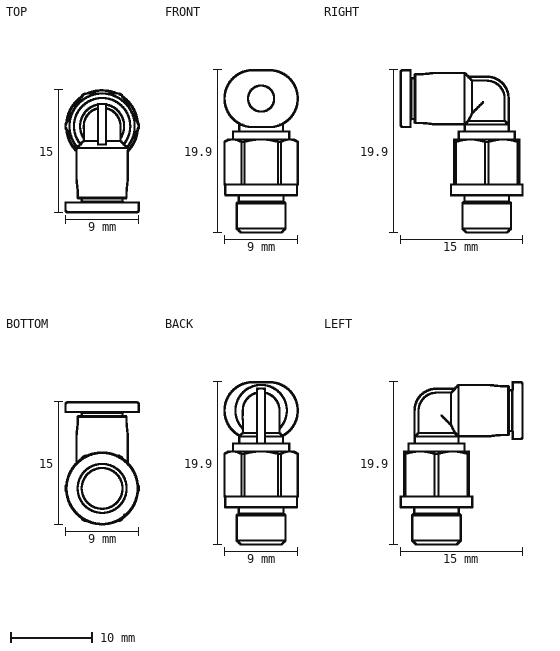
import cadquery as cq
import math

ARM_AXIS_Z = 16.4
ARM_END = 10.55

THREAD_RADIUS = 3.0
THREAD_TIP_CHAMFER = 0.5
THREAD_RUNOUT_Z = 3.55
THREAD_NECK_RADIUS = 2.75
FLANGE_RADIUS = 4.4
FLANGE_BOTTOM_Z = 4.55
FLANGE_EDGE_CHAMFER = 0.05

HEX_BOTTOM_Z = 5.9
HEX_TOP_Z = 11.4
HEX_ACROSS_FLATS = 8.0
HEX_CORNER_RADIUS = 4.5
HEX_CHAMFER_ANGLE = 30.0
COLLAR_RADIUS = 3.45
COLLAR_TOP_Z = 12.4

ELBOW_RADIUS = 2.25
NECK_RADIUS = 2.7
NECK_SHOULDER_Z = 13.22
RIB_WIDTH = 1.0

SOCKET_RADIUS = 3.15
SOCKET_CONE_START = 1.8
SOCKET_STRAIGHT_END = 6.55
SOCKET_TIP_START = 8.0
SOCKET_TIP_RADIUS = 3.0
SOCKET_END = 8.85
SOCKET_EDGE_CHAMFER = 0.1
SLEEVE_RADIUS = 2.5

PLATE_WIDTH = 9.0
PLATE_HEIGHT = 7.0
PLATE_THICKNESS = 1.22
PLATE_EDGE_FILLET = 0.3
SLEEVE_CHAMFER = 0.1
BORE_RADIUS = 1.6
BORE_MOUTH_FILLET = 0.5
BORE_DEPTH = 5.0


def revolve_about_z(profile):
    """Solid of revolution about Z from (radius, height) points, closed along the axis."""
    first_height = profile[0][1]
    last_height = profile[-1][1]
    points = [(0, first_height)] + profile + [(0, last_height)]
    return cq.Workplane("XZ").polyline(points).close().revolve(360, (0, 0, 0), (0, 1, 0))


def lay_along_arm(solid):
    """Turn a solid built along +Z so that it points along -Y on the arm axis."""
    return solid.rotate((0, 0, 0), (1, 0, 0), 90).translate((0, 0, ARM_AXIS_Z))


def make_stem():
    runout_height = THREAD_RADIUS - THREAD_NECK_RADIUS
    shoulder_rise = NECK_RADIUS - ELBOW_RADIUS
    return revolve_about_z([
        (THREAD_RADIUS - THREAD_TIP_CHAMFER, 0),
        (THREAD_RADIUS, THREAD_TIP_CHAMFER),
        (THREAD_RADIUS, THREAD_RUNOUT_Z),
        (THREAD_NECK_RADIUS, THREAD_RUNOUT_Z + runout_height),
        (THREAD_NECK_RADIUS, FLANGE_BOTTOM_Z),
        (FLANGE_RADIUS - FLANGE_EDGE_CHAMFER, FLANGE_BOTTOM_Z),
        (FLANGE_RADIUS, FLANGE_BOTTOM_Z + FLANGE_EDGE_CHAMFER),
        (FLANGE_RADIUS, HEX_BOTTOM_Z),
        (COLLAR_RADIUS, HEX_BOTTOM_Z),
        (COLLAR_RADIUS, COLLAR_TOP_Z),
        (NECK_RADIUS, COLLAR_TOP_Z),
        (NECK_RADIUS, NECK_SHOULDER_Z),
        (ELBOW_RADIUS, NECK_SHOULDER_Z + shoulder_rise),
        (ELBOW_RADIUS, ARM_AXIS_Z),
    ])


def make_hexagon():
    """Hexagon with corners on the X axis, turned corners and a chamfered top."""
    inscribed_radius = HEX_ACROSS_FLATS / 2
    corner_diameter = HEX_ACROSS_FLATS / math.cos(math.radians(30))
    chamfer_slope = math.tan(math.radians(HEX_CHAMFER_ANGLE))
    chamfer_height = (HEX_CORNER_RADIUS - inscribed_radius) * chamfer_slope
    prism = (
        cq.Workplane("XY", origin=(0, 0, HEX_BOTTOM_Z))
        .polygon(6, corner_diameter)
        .extrude(HEX_TOP_Z - HEX_BOTTOM_Z)
    )
    turned_envelope = revolve_about_z([
        (HEX_CORNER_RADIUS, HEX_BOTTOM_Z),
        (HEX_CORNER_RADIUS, HEX_TOP_Z - chamfer_height),
        (inscribed_radius, HEX_TOP_Z),
    ])
    return prism.intersect(turned_envelope)


def make_elbow_ball():
    return cq.Workplane("XY", origin=(0, 0, ARM_AXIS_Z)).sphere(ELBOW_RADIUS)


def make_rib():
    """Rib around the outside of the bend, from the collar to the socket cone."""
    rib_end = SOCKET_CONE_START + NECK_RADIUS - ELBOW_RADIUS
    arc_offset = NECK_RADIUS * math.sqrt(0.5)
    return (
        cq.Workplane("YZ")
        .moveTo(0, COLLAR_TOP_Z)
        .lineTo(NECK_RADIUS, COLLAR_TOP_Z)
        .lineTo(NECK_RADIUS, ARM_AXIS_Z)
        .threePointArc((arc_offset, ARM_AXIS_Z + arc_offset), (0, ARM_AXIS_Z + NECK_RADIUS))
        .lineTo(-rib_end, ARM_AXIS_Z + NECK_RADIUS)
        .lineTo(-rib_end, ARM_AXIS_Z)
        .lineTo(0, ARM_AXIS_Z)
        .close()
        .extrude(RIB_WIDTH / 2, both=True)
    )


def make_arm():
    cone_length = SOCKET_RADIUS - ELBOW_RADIUS
    plate_start = ARM_END - PLATE_THICKNESS
    arm = revolve_about_z([
        (ELBOW_RADIUS, 0),
        (ELBOW_RADIUS, SOCKET_CONE_START),
        (SOCKET_RADIUS, SOCKET_CONE_START + cone_length),
        (SOCKET_RADIUS, SOCKET_STRAIGHT_END),
        (SOCKET_TIP_RADIUS, SOCKET_TIP_START),
        (SOCKET_TIP_RADIUS, SOCKET_END - SOCKET_EDGE_CHAMFER),
        (SOCKET_TIP_RADIUS - SOCKET_EDGE_CHAMFER, SOCKET_END),
        (SLEEVE_RADIUS, SOCKET_END),
        (SLEEVE_RADIUS, plate_start - SLEEVE_CHAMFER),
        (SLEEVE_RADIUS + SLEEVE_CHAMFER, plate_start),
    ])
    return lay_along_arm(arm)


def make_release_plate():
    plate = (
        cq.Workplane("XY", origin=(0, 0, ARM_END - PLATE_THICKNESS))
        .slot2D(PLATE_WIDTH, PLATE_HEIGHT)
        .extrude(PLATE_THICKNESS)
        .faces(">Z").edges().fillet(PLATE_EDGE_FILLET)
    )
    return lay_along_arm(plate)


def make_bore():
    """Blind tube bore with a rounded mouth."""
    mouth_radius = BORE_RADIUS + BORE_MOUTH_FILLET
    mouth_start = ARM_END - BORE_MOUTH_FILLET
    arc_inset = BORE_MOUTH_FILLET * math.sqrt(0.5)
    bore = (
        cq.Workplane("XZ")
        .moveTo(0, ARM_END - BORE_DEPTH)
        .lineTo(BORE_RADIUS, ARM_END - BORE_DEPTH)
        .lineTo(BORE_RADIUS, mouth_start)
        .threePointArc((mouth_radius - arc_inset, mouth_start + arc_inset), (mouth_radius, ARM_END))
        .lineTo(0, ARM_END)
        .close()
        .revolve(360, (0, 0, 0), (0, 1, 0))
    )
    return lay_along_arm(bore)


result = (
    make_stem()
    .union(make_hexagon())
    .union(make_elbow_ball())
    .union(make_arm())
    .union(make_rib())
    .union(make_release_plate())
    .cut(make_bore())
)